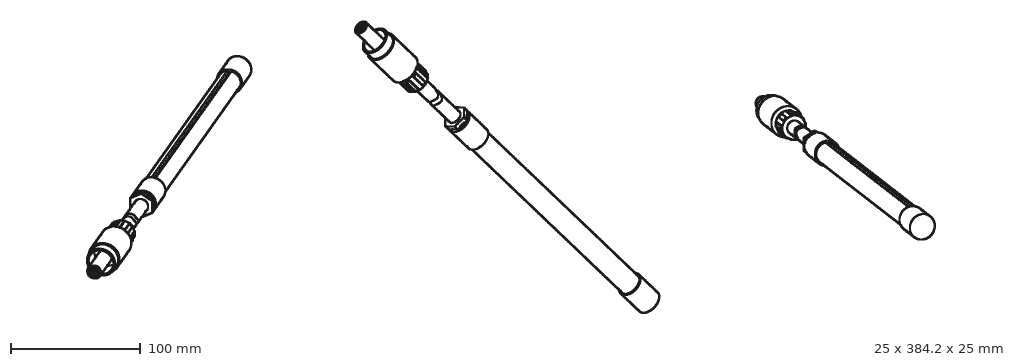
import cadquery as cq
import math

OVERALL_LENGTH = 384.2

CABLE_DIAMETER = 11.0
BREAK_DEPTH = 2.3
BREAK_END_DEPTH = 1.5
BAR_BREAK_Y = 99.0
BREAK_GAP = 5.0
CONNECTOR_BREAK_Y = BAR_BREAK_Y - BREAK_GAP

TUBE_DIAMETER = 18.0
CAP_DIAMETER = 20.5
CAP_LENGTH = 25.0
FAR_CAP_Y = OVERALL_LENGTH - CAP_LENGTH
NEAR_CAP_Y = 131.0

GROOVE_WIDTH = 3.5
GROOVE_DEPTH = 1.5
HOLE_COUNT = 10
HOLE_DIAMETER = 1.0
HOLE_DEPTH = 4.0
FIRST_HOLE_Y = 200.5
LAST_HOLE_Y = 329.5
HOLE_PITCH = (LAST_HOLE_Y - FIRST_HOLE_Y) / (HOLE_COUNT - 1)

NECK_DIAMETER = 16.0
GLAND_NUT_FLATS = 17.5
GLAND_NUT_LENGTH = 4.2
GLAND_NUT_Y = 125.2

BARREL_DIAMETER = 25.0
COLLAR_DIAMETER = 22.5
COLLAR_BORE_DIAMETER = 20.0
COLLAR_BORE_DEPTH = 15.5
COLLAR_Y = 19.0
BARREL_Y = 27.0
BARREL_END_Y = 58.5
CONE_END_Y = 60.7

NUT_CORE_DIAMETER = 19.2
NUT_RIB_DIAMETER = 20.5
NUT_END_Y = 76.0
RIB_COUNT = 8
RIB_WIDTH = 3.5
RIB_START_Y = 62.2
RIB_END_Y = 75.3

CABLE_TIP_Y = 0.5
SHEATH_BORE_DIAMETER = 8.0
SHEATH_BORE_DEPTH = 0.5
CORE_BORE_DIAMETER = 5.8
CORE_BORE_DEPTH = 0.8
PIN_DIAMETER = 2.0


def cylinder(diameter, start_y, end_y):
    """Round bar along Y between two stations."""
    profile = cq.Workplane("XZ", origin=(0, start_y, 0)).circle(diameter / 2)
    return profile.extrude(start_y - end_y)


def cable_piece(end_y, break_y):
    """Cable with a flat end at end_y, running to the S-shaped break centred on break_y."""
    radius = CABLE_DIAMETER / 2
    side_outline = (
        cq.Workplane("YZ", origin=(-radius, 0, 0))
        .moveTo(break_y + BREAK_END_DEPTH, -radius)
        .spline(
            [
                (break_y + BREAK_DEPTH, -radius / 2),
                (break_y, 0),
                (break_y - BREAK_DEPTH, radius / 2),
                (break_y - BREAK_END_DEPTH, radius),
            ],
            includeCurrent=True,
        )
        .lineTo(end_y, radius)
        .lineTo(end_y, -radius)
        .close()
        .extrude(CABLE_DIAMETER)
    )
    start_y = min(end_y, break_y - radius)
    stop_y = max(end_y, break_y + radius)
    return cylinder(CABLE_DIAMETER, start_y, stop_y).intersect(side_outline)


def tube_groove():
    """V-shaped cutter along the top of the tube, between the caps."""
    top = TUBE_DIAMETER / 2
    start_y = NEAR_CAP_Y + CAP_LENGTH
    return (
        cq.Workplane("XZ", origin=(0, start_y, 0))
        .polyline([(-GROOVE_WIDTH / 2, top), (GROOVE_WIDTH / 2, top), (0, top - GROOVE_DEPTH)])
        .close()
        .extrude(start_y - FAR_CAP_Y)
    )


def groove_holes():
    """Row of blind holes drilled down from the groove."""
    points = [(0, FIRST_HOLE_Y + i * HOLE_PITCH) for i in range(HOLE_COUNT)]
    drill_start = cq.Workplane("XY", origin=(0, 0, TUBE_DIAMETER / 2))
    return drill_start.pushPoints(points).circle(HOLE_DIAMETER / 2).extrude(-GROOVE_DEPTH - HOLE_DEPTH)


def gland_nut():
    """Hexagonal nut with flats facing +X and -X."""
    corner_diameter = GLAND_NUT_FLATS / math.cos(math.pi / 6)
    return (
        cq.Workplane("XZ", origin=(0, GLAND_NUT_Y, 0))
        .transformed(rotate=(0, 0, 90))
        .polygon(6, corner_diameter)
        .extrude(-GLAND_NUT_LENGTH)
    )


def bar():
    """Grooved tube with its caps, neck, gland nut and piece of cable."""
    body = cylinder(TUBE_DIAMETER, NEAR_CAP_Y, OVERALL_LENGTH).cut(tube_groove()).cut(groove_holes())
    for cap_y in (NEAR_CAP_Y, FAR_CAP_Y):
        body = body.union(cylinder(CAP_DIAMETER, cap_y, cap_y + CAP_LENGTH))
    body = body.union(cylinder(NECK_DIAMETER, GLAND_NUT_Y, NEAR_CAP_Y))
    body = body.union(gland_nut())
    return body.union(cable_piece(GLAND_NUT_Y, BAR_BREAK_Y))


def connector_shell():
    """Revolved collar, barrel, shoulder cone and nut core, without bore or grip ribs."""
    collar_radius = COLLAR_DIAMETER / 2
    barrel_radius = BARREL_DIAMETER / 2
    nut_radius = NUT_CORE_DIAMETER / 2
    half_section = [
        (0, COLLAR_Y),
        (collar_radius, COLLAR_Y),
        (collar_radius, BARREL_Y),
        (barrel_radius, BARREL_Y),
        (barrel_radius, BARREL_END_Y),
        (nut_radius, CONE_END_Y),
        (nut_radius, NUT_END_Y),
        (0, NUT_END_Y),
    ]
    return cq.Workplane("XY").polyline(half_section).close().revolve(360, (0, 0, 0), (0, 1, 0))


def grip_rib(angle):
    """Flat-topped lengthwise rib on the nut, turned about Y by angle."""
    top = NUT_RIB_DIAMETER / 2
    rib = (
        cq.Workplane("YZ", origin=(-RIB_WIDTH / 2, 0, 0))
        .moveTo(RIB_START_Y, CABLE_DIAMETER / 2)
        .lineTo(RIB_START_Y, top)
        .lineTo(RIB_END_Y, top)
        .lineTo(RIB_END_Y, CABLE_DIAMETER / 2)
        .close()
        .extrude(RIB_WIDTH)
    )
    return rib.rotate((0, 0, 0), (0, 1, 0), angle)


def connector():
    """Grip nut, barrel and collar on the other piece of cable, with its stepped tip."""
    shell = connector_shell()
    for i in range(RIB_COUNT):
        shell = shell.union(grip_rib(i * 360 / RIB_COUNT))
    shell = shell.cut(cylinder(COLLAR_BORE_DIAMETER, COLLAR_Y, COLLAR_Y + COLLAR_BORE_DEPTH))
    cable = cable_piece(CABLE_TIP_Y, CONNECTOR_BREAK_Y)
    core_floor_y = CABLE_TIP_Y + CORE_BORE_DEPTH
    cable = cable.cut(cylinder(SHEATH_BORE_DIAMETER, CABLE_TIP_Y, CABLE_TIP_Y + SHEATH_BORE_DEPTH))
    cable = cable.cut(cylinder(CORE_BORE_DIAMETER, CABLE_TIP_Y, core_floor_y))
    pin = cylinder(PIN_DIAMETER, 0, core_floor_y)
    return shell.union(cable).union(pin)


result = cq.Compound.makeCompound([bar().val(), connector().val()])